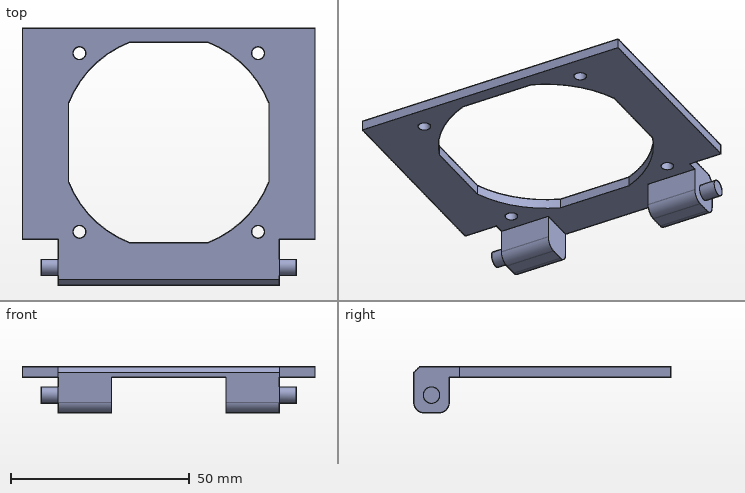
import cadquery as cq

plate_width = 82.0
plate_thickness = 3.0
total_depth = 72.0
rear_y = 32.0
front_y = rear_y - total_depth
step_y = -27.1

opening_diameter = 60.2
opening_across_flats = 56.1

screw_spacing = 50.0
screw_diameter = 3.5

tongue_width = 62.0
tongue_chamfer = 1.7
lug_width = 15.0
lug_depth = 10.0
total_height = 13.0
lug_fillet = 3.0
pin_diameter = 4.6
pin_length = 4.7
pin_from_front = lug_depth / 2
pin_from_bottom = 5.0


def block(x_min, x_max, y_min, y_max, z_min, z_max):
    """Box between the given limits."""
    size = (x_max - x_min, y_max - y_min, z_max - z_min)
    return cq.Workplane("XY").box(*size, centered=False).translate((x_min, y_min, z_min))


def make_plate():
    """Wide rear plate joined to the narrower front tongue."""
    wide = block(-plate_width / 2, plate_width / 2, step_y, rear_y, -plate_thickness, 0)
    tongue = block(-tongue_width / 2, tongue_width / 2, front_y, step_y, -plate_thickness, 0)
    tongue = tongue.faces("<Y").edges(">Z").chamfer(tongue_chamfer)
    return wide.union(tongue)


def make_opening():
    """Cutter for the fan opening."""
    disc = cq.Workplane("XY").circle(opening_diameter / 2).extrude(-plate_thickness)
    square = cq.Workplane("XY").rect(opening_across_flats, opening_across_flats).extrude(-plate_thickness)
    return disc.intersect(square)


def make_screw_holes():
    """Cutters for the four screw holes."""
    return (
        cq.Workplane("XY")
        .rect(screw_spacing, screw_spacing, forConstruction=True)
        .vertices()
        .circle(screw_diameter / 2)
        .extrude(-plate_thickness)
    )


def make_right_lug():
    """Lug at the +X end of the tongue, with its pin."""
    outer_x = tongue_width / 2
    inner_x = outer_x - lug_width
    lug = block(inner_x, outer_x, front_y, front_y + lug_depth, -total_height, -plate_thickness)
    lug = lug.faces("<Z").edges("|X").fillet(lug_fillet)
    pin = (
        cq.Workplane("YZ", origin=(outer_x, 0, 0))
        .center(front_y + pin_from_front, pin_from_bottom - total_height)
        .circle(pin_diameter / 2)
        .extrude(pin_length)
    )
    return lug.union(pin)


right_lug = make_right_lug()
left_lug = right_lug.mirror("YZ")

result = make_plate().cut(make_opening()).cut(make_screw_holes()).union(right_lug).union(left_lug)